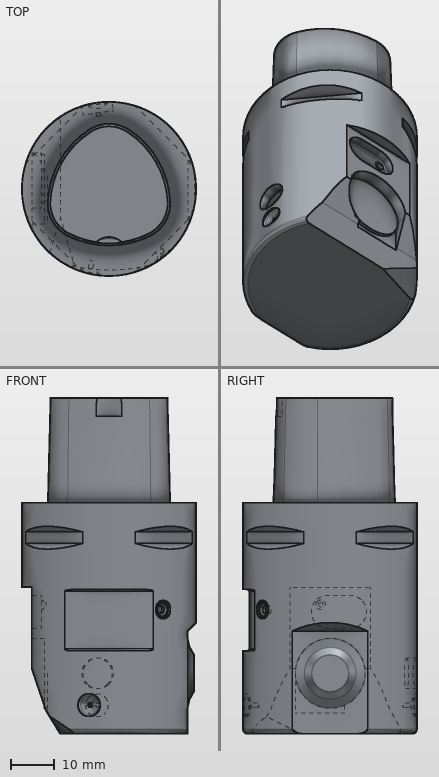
import cadquery as cq
import math

TOTAL_HEIGHT = 77.0
BODY_DIAMETER = 40.0
BODY_RADIUS = BODY_DIAMETER / 2
SHANK_HEIGHT = 24.0
BODY_HEIGHT = TOTAL_HEIGHT - SHANK_HEIGHT
BOTTOM_FILLET = 1.2
CLEAR = 46.2

LOBE_REACH = 14.3
SIDE_REACH = 12.4
LOBE_RADIUS = 7.7
LOBE_ANGLES = (90, 210, 330)
LOBE_TO_SIDE = 60
TAPER_INSET = 0.6
SHANK_NOTCH_DIAMETER = 8.0
SHANK_NOTCH_INNER_Y = -11.0
SHANK_NOTCH_DEPTH = 4.15

GROOVE_CENTER_Z = 45.0
GROOVE_FLOOR_HEIGHT = 2.6
GROOVE_FLOOR_DISTANCE = 17.7
GROOVE_SLOPE = 30.0
GROOVE_ANGLES = (45, 135, 225, 315)

FLAT_X = -17.7
FLAT_TOP_Z = 33.65
FLAT_BOTTOM_Z = 15.0
SLOPE_BREAK_X = -14.5
SLOPE_BREAK_Z = 5.4
BOTTOM_EDGE_X = -11.2
CORNER_CUT_TURN = 16.2
CORNER_CUT_TILT = 49.0
CORNER_CUT_REACH = 12.55

BORE_DIAMETER = 16.0
BORE_Z = 13.9
BORE_FLOOR_X = -14.2
INSERT_THICKNESS = 0.7
RELIEF_Y_MAX = 3.2
WINDOW_LENGTH = 12.6
WINDOW_HEIGHT = 7.55
WINDOW_Y = 2.0
WINDOW_Z = 28.0
WINDOW_DEPTH = 2.2
WINDOW_FILLET = 0.5
DIMPLE_DIAMETER = 2.15
DIMPLE_TIP_DIAMETER = 1.0
DIMPLE_DEPTH = 1.0
DIMPLE_Y = -2.15
DIMPLE_Z = 29.65

DIAL_FLAT_X = 18.0
DIAL_FLAT_TOP_Z = 23.6
DIAL_RIM_RADIUS = BORE_DIAMETER / 2
DIAL_SHOULDER_RADIUS = 5.9
DIAL_TOP_RADIUS = 4.2
DIAL_SHOULDER_HEIGHT = 0.5
DIAL_HEIGHT = 1.5
DIAL_FILLET = 0.2

POCKET_HALF_WIDTH = 10.1
POCKET_BOTTOM_Z = 19.0
POCKET_TOP_Z = 33.1
POCKET_FLOOR_Y = -18.55
POCKET_FILLET = 0.5

SCREW_ANGLE = -51.3
SCREW_Z = 28.5
SCREW_PROFILE = [(4.2, 0.2), (3.6, 0.55), (3.0, 0.55), (2.0, 1.0), (2.0, 1.85)]
NOZZLE_ANGLE = -103.4
NOZZLE_Z = 6.6
NOZZLE_PROFILE = [(5.2, 0.4), (4.2, 0.6), (1.0, 1.3), (1.0, 3.1)]
BACK_HOLE_ANGLE = 98.2
BACK_HOLE_PROFILE = [(7.0, 2.3)]


def polar(radius, angle):
    return (radius * math.cos(math.radians(angle)), radius * math.sin(math.radians(angle)))


def lobed_outline(plane, offset):
    """Three lobe arcs joined tangentially by three flatter side arcs, grown by an offset."""
    lobe_center = LOBE_REACH - LOBE_RADIUS
    gap = SIDE_REACH - LOBE_RADIUS
    side_center = (lobe_center**2 - gap**2) / (2 * gap - lobe_center)
    side_radius = SIDE_REACH + side_center
    half_side = math.asin(
        lobe_center * math.sin(math.radians(LOBE_TO_SIDE)) / (side_radius - LOBE_RADIUS)
    )
    joint_x = (side_radius + offset) * math.sin(half_side)
    joint_y = side_center - (side_radius + offset) * math.cos(half_side)
    joint_radius = math.hypot(joint_x, joint_y)
    half_lobe = LOBE_TO_SIDE - math.degrees(math.atan2(joint_x, -joint_y))

    outline = plane.moveTo(*polar(joint_radius, LOBE_ANGLES[0] - half_lobe))
    for lobe_angle in LOBE_ANGLES:
        outline = outline.threePointArc(
            polar(LOBE_REACH + offset, lobe_angle),
            polar(joint_radius, lobe_angle + half_lobe),
        ).threePointArc(
            polar(SIDE_REACH + offset, lobe_angle + LOBE_TO_SIDE),
            polar(joint_radius, lobe_angle + 2 * LOBE_TO_SIDE - half_lobe),
        )
    return outline.close()


def shank():
    """Tapered shank with a round notch in the front of its top edge."""
    base = lobed_outline(cq.Workplane("XY").workplane(offset=BODY_HEIGHT), TAPER_INSET)
    solid = lobed_outline(base.workplane(offset=SHANK_HEIGHT), 0).loft(ruled=True, combine=True)
    notch = (
        cq.Workplane("XY")
        .workplane(offset=TOTAL_HEIGHT - SHANK_NOTCH_DEPTH)
        .center(0, SHANK_NOTCH_INNER_Y - SHANK_NOTCH_DIAMETER / 2)
        .circle(SHANK_NOTCH_DIAMETER / 2)
        .extrude(SHANK_NOTCH_DEPTH)
    )
    return solid.cut(notch)


def gripper_groove(angle):
    """Straight groove with sloping walls across the body at the given angle."""
    depth = BODY_RADIUS - GROOVE_FLOOR_DISTANCE
    floor_half = GROOVE_FLOOR_HEIGHT / 2
    mouth_half = floor_half + depth * math.tan(math.radians(GROOVE_SLOPE))
    return (
        cq.Workplane("XZ")
        .moveTo(GROOVE_FLOOR_DISTANCE, GROOVE_CENTER_Z - floor_half)
        .lineTo(BODY_RADIUS, GROOVE_CENTER_Z - mouth_half)
        .lineTo(BODY_RADIUS, GROOVE_CENTER_Z + mouth_half)
        .lineTo(GROOVE_FLOOR_DISTANCE, GROOVE_CENTER_Z + floor_half)
        .close()
        .extrude(CLEAR / 2, both=True)
        .rotate((0, 0, 0), (0, 0, 1), angle)
    )


def left_cut():
    """Everything to the left of the flat and the two slopes below it."""
    return (
        cq.Workplane("XZ")
        .moveTo(-CLEAR, FLAT_TOP_Z)
        .lineTo(FLAT_X, FLAT_TOP_Z)
        .lineTo(FLAT_X, FLAT_BOTTOM_Z)
        .lineTo(SLOPE_BREAK_X, SLOPE_BREAK_Z)
        .lineTo(BOTTOM_EDGE_X, 0)
        .lineTo(-CLEAR, 0)
        .close()
        .extrude(CLEAR, both=True)
    )


def corner_cut():
    """Oblique cut over the front left bottom corner."""
    run = CLEAR - CORNER_CUT_REACH
    return (
        cq.Workplane("XZ")
        .moveTo(-CORNER_CUT_REACH, 0)
        .lineTo(-CLEAR, run / math.tan(math.radians(CORNER_CUT_TILT)))
        .lineTo(-CLEAR, 0)
        .close()
        .extrude(CLEAR, both=True)
        .rotate((0, 0, 0), (0, 0, 1), CORNER_CUT_TURN)
    )


def bore():
    """Flat-floored bore in the left face with a straight relief running out below it."""
    radius = BORE_DIAMETER / 2
    floor_plane = cq.Workplane("YZ").workplane(offset=BORE_FLOOR_X)
    relief = (
        floor_plane.moveTo(-radius, 0)
        .lineTo(RELIEF_Y_MAX, 0)
        .lineTo(RELIEF_Y_MAX, BORE_Z)
        .lineTo(-radius, BORE_Z)
        .close()
        .extrude(-CLEAR)
    )
    return floor_plane.center(0, BORE_Z).circle(radius).extrude(-CLEAR).union(relief)


def bore_insert():
    """Disc on the bore floor, its lower edge standing proud of the slope."""
    return (
        cq.Workplane("YZ")
        .workplane(offset=BORE_FLOOR_X)
        .center(0, BORE_Z)
        .circle(BORE_DIAMETER / 2)
        .extrude(-INSERT_THICKNESS)
    )


def scale_window():
    """Shallow oval recess with a rounded floor edge and a conical dimple."""
    floor_x = FLAT_X + WINDOW_DEPTH
    recess = (
        cq.Workplane("YZ")
        .workplane(offset=floor_x)
        .center(WINDOW_Y, WINDOW_Z)
        .slot2D(WINDOW_LENGTH, WINDOW_HEIGHT)
        .extrude(-WINDOW_DEPTH)
        .faces(">X")
        .edges()
        .fillet(WINDOW_FILLET)
    )
    dimple = cq.Solid.makeCone(
        DIMPLE_DIAMETER / 2,
        DIMPLE_TIP_DIAMETER / 2,
        DIMPLE_DEPTH,
        cq.Vector(floor_x, DIMPLE_Y, DIMPLE_Z),
        cq.Vector(1, 0, 0),
    )
    return recess.union(cq.Workplane(dimple))


def right_cut():
    """Flat on the right face, ending upwards in a 45 degree slope."""
    return (
        cq.Workplane("XZ")
        .moveTo(DIAL_FLAT_X, 0)
        .lineTo(DIAL_FLAT_X, DIAL_FLAT_TOP_Z)
        .lineTo(CLEAR, DIAL_FLAT_TOP_Z + CLEAR - DIAL_FLAT_X)
        .lineTo(CLEAR, 0)
        .close()
        .extrude(CLEAR, both=True)
    )


def dial():
    """Round dial whose rim slopes gently and whose middle slopes steeply."""
    return (
        cq.Workplane("XZ")
        .moveTo(DIAL_FLAT_X, BORE_Z)
        .lineTo(DIAL_FLAT_X, BORE_Z + DIAL_RIM_RADIUS)
        .lineTo(DIAL_FLAT_X + DIAL_SHOULDER_HEIGHT, BORE_Z + DIAL_SHOULDER_RADIUS)
        .lineTo(DIAL_FLAT_X + DIAL_HEIGHT, BORE_Z + DIAL_TOP_RADIUS)
        .lineTo(DIAL_FLAT_X + DIAL_HEIGHT, BORE_Z)
        .close()
        .revolve(360, (0, BORE_Z, 0), (1, BORE_Z, 0))
        .faces(">X")
        .edges()
        .fillet(DIAL_FILLET)
    )


def front_pocket():
    """Pocket with a gently bulging floor that fades out at both sides."""
    edge_y = -math.sqrt(BODY_RADIUS**2 - POCKET_HALF_WIDTH**2)
    return (
        cq.Workplane("XY")
        .workplane(offset=POCKET_BOTTOM_Z)
        .moveTo(-POCKET_HALF_WIDTH, edge_y)
        .threePointArc((0, POCKET_FLOOR_Y), (POCKET_HALF_WIDTH, edge_y))
        .lineTo(POCKET_HALF_WIDTH, -CLEAR)
        .lineTo(-POCKET_HALF_WIDTH, -CLEAR)
        .close()
        .extrude(POCKET_TOP_Z - POCKET_BOTTOM_Z)
        .faces(">Y")
        .edges("not |Z")
        .fillet(POCKET_FILLET)
    )


def radial_hole(profile, angle, height):
    """Hole aimed at the body axis, from (diameter, depth) pairs starting at its mouth."""
    mouth_radius = profile[0][0] / 2
    outline = cq.Workplane("XZ").moveTo(CLEAR, 0).lineTo(CLEAR, mouth_radius)
    for diameter, depth in profile:
        outline = outline.lineTo(BODY_RADIUS - depth, diameter / 2)
    return (
        outline.lineTo(BODY_RADIUS - profile[-1][1], 0)
        .close()
        .revolve(360, (0, 0, 0), (1, 0, 0))
        .rotate((0, 0, 0), (0, 0, 1), angle)
        .translate((0, 0, height))
    )


body = cq.Workplane("XY").circle(BODY_RADIUS).extrude(BODY_HEIGHT)
body = body.faces("<Z").edges().fillet(BOTTOM_FILLET)

for groove_angle in GROOVE_ANGLES:
    body = body.cut(gripper_groove(groove_angle))

body = body.cut(left_cut()).cut(corner_cut()).cut(right_cut())
body = body.cut(bore()).cut(scale_window()).cut(front_pocket())

body = body.cut(radial_hole(SCREW_PROFILE, SCREW_ANGLE, SCREW_Z))
body = body.cut(radial_hole(NOZZLE_PROFILE, NOZZLE_ANGLE, NOZZLE_Z))
body = body.cut(radial_hole(BACK_HOLE_PROFILE, BACK_HOLE_ANGLE, BORE_Z))
body = body.cut(radial_hole(NOZZLE_PROFILE, BACK_HOLE_ANGLE, NOZZLE_Z))

result = body.union(bore_insert()).union(dial()).union(shank())